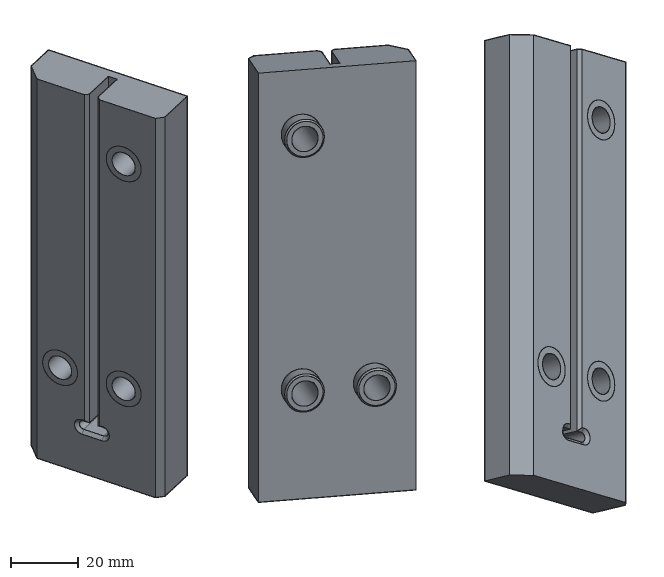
import cadquery as cq

PLATE_WIDTH = 47.8
PLATE_HEIGHT = 135
PLATE_THICKNESS = 15.0
LEFT_CHAMFER = 5.0
RIGHT_CHAMFER = 2.0

SLOT_WIDTH = 3.0
SLOT_DEPTH = 12.0
POCKET_LENGTH = 9.9
POCKET_HEIGHT = 3.0
POCKET_CENTER_Z = 16.5
MOUTH_CHAMFER = 1.1

BUSHING_DIAMETER = 12.0
BUSHING_BORE = 8.0
BUSHING_LENGTH = 20.0
BUSHING_EDGE_CHAMFER = 0.5
BUSHING_X = 11.0
LOWER_BUSHING_Z = 35.0
UPPER_BUSHING_Z = 115.0
BUSHING_PLACES = [
    (-BUSHING_X, LOWER_BUSHING_Z),
    (BUSHING_X, LOWER_BUSHING_Z),
    (BUSHING_X, UPPER_BUSHING_Z),
]


def cylinder_from_front(diameter, length):
    """Cylinder on the Y axis, starting on the front face and running toward +Y."""
    return cq.Workplane("XZ").circle(diameter / 2).extrude(-length)


def make_plate_blank():
    """Plate with its two long front edges chamfered by different amounts."""
    blank = cq.Workplane("XY").box(
        PLATE_WIDTH, PLATE_THICKNESS, PLATE_HEIGHT, centered=(True, False, False)
    )
    blank = blank.edges("|Z and <Y and <X").chamfer(LEFT_CHAMFER)
    return blank.edges("|Z and <Y and >X").chamfer(RIGHT_CHAMFER)


def make_slot_cutter():
    """Slot and round-ended cross pocket as one T-shaped cutter."""
    slot_length = PLATE_HEIGHT - POCKET_CENTER_Z
    slot = (
        cq.Workplane("XY", origin=(0, 0, POCKET_CENTER_Z))
        .box(SLOT_WIDTH, SLOT_DEPTH, slot_length, centered=(True, False, False))
    )
    pocket = (
        cq.Workplane("XZ")
        .center(0, POCKET_CENTER_Z)
        .slot2D(POCKET_LENGTH, POCKET_HEIGHT)
        .extrude(-SLOT_DEPTH)
    )
    return slot.union(pocket)


def make_plate():
    """Plate with the chamfered T-shaped slot and the bushing holes."""
    plate = make_plate_blank().cut(make_slot_cutter())
    slot_mouth = cq.selectors.BoxSelector(
        (-POCKET_LENGTH / 2 - MOUTH_CHAMFER, -MOUTH_CHAMFER, POCKET_CENTER_Z - POCKET_HEIGHT),
        (POCKET_LENGTH / 2 + MOUTH_CHAMFER, MOUTH_CHAMFER, PLATE_HEIGHT - MOUTH_CHAMFER),
    )
    plate = plate.edges(slot_mouth).chamfer(MOUTH_CHAMFER)
    for x, z in BUSHING_PLACES:
        hole = cylinder_from_front(BUSHING_DIAMETER, PLATE_THICKNESS)
        plate = plate.cut(hole.translate((x, 0, z)))
    return plate


def make_bushing(x, z):
    """Plain bushing with a chamfered outer edge at its back end."""
    bushing = cylinder_from_front(BUSHING_DIAMETER, BUSHING_LENGTH)
    bushing = bushing.faces(">Y").edges().chamfer(BUSHING_EDGE_CHAMFER)
    bushing = bushing.cut(cylinder_from_front(BUSHING_BORE, BUSHING_LENGTH))
    return bushing.translate((x, 0, z))


plate = make_plate()
bushings = [make_bushing(x, z) for x, z in BUSHING_PLACES]

result = cq.Compound.makeCompound([plate.val(), *[bushing.val() for bushing in bushings]])